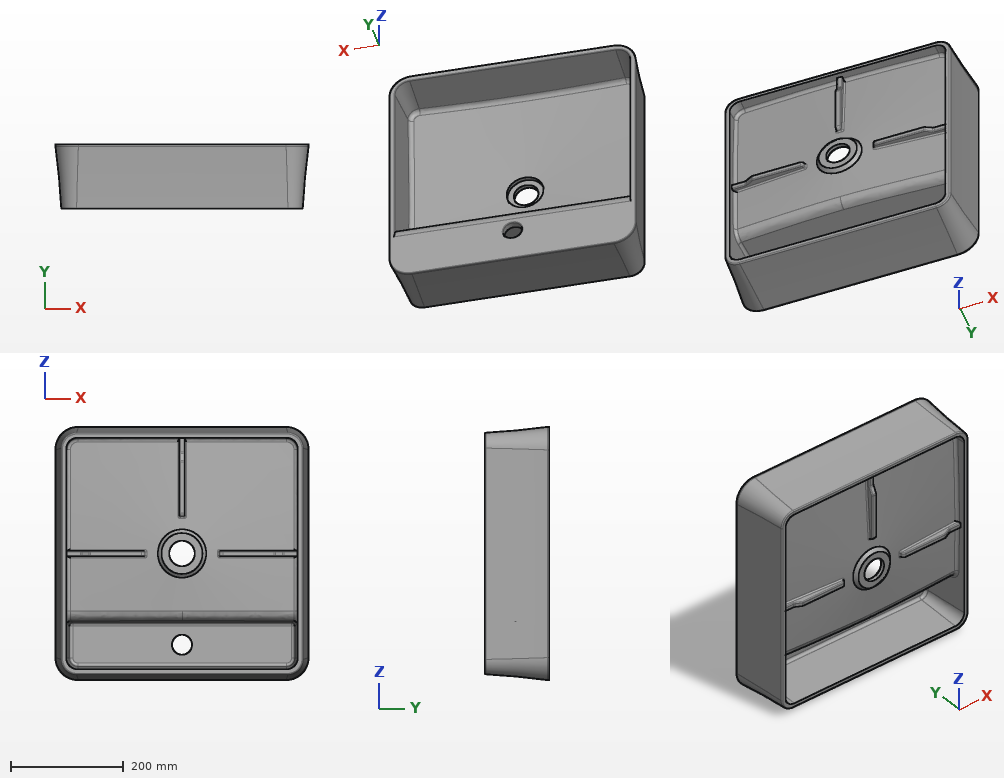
import cadquery as cq
import math

size = 450.0
depth = 114.5
underside_y = -depth / 2
rim_y = depth / 2

underside_size = 429.0
middle_size = 437.2
rim_corner = 40.5
middle_corner = 32.5
underside_corner = 27.0
underside_edge_round = 2.2
rim_band = 3.5
rim_edge_round = 1.5

wall = 9.0
pocket_size = underside_size - 2 * wall
pocket_draft = 3.5
pocket_corner = 20.2
pocket_floor_round = 6.0
deck_thickness = 14.5
deck_y = rim_y - deck_thickness

floor_low_y = -51.5
floor_slope = 0.062
floor_thickness = 10.0

step_z = -117.0
step_draft = 3.5
step_drop = depth * math.tan(math.radians(step_draft))
step_round = 18.0
step_lip_round = 22.5

bowl_size = 430.0
bowl_draft = 5.0
bowl_corner = 27.0
bowl_floor_round = 9.0

drain_diameter = 45.0
boss_top_y = -56.0
boss_top_diameter = 73.0
boss_base_diameter = 86.0
boss_base_y = floor_low_y + floor_slope * boss_base_diameter / 2
drain_flange = 8.5
seat_diameter = 67.5

tap_diameter = 35.0
tap_z = -162.0

rib_width = 10.5
rib_start = 65.5
rib_slope_start = 164.0
rib_slope_end = 179.0
rib_end = 209.0
rib_root_y = -36.0
rib_high_y = -56.0
rib_low_y = -48.0
rib_bend_round = 6.5
rib_round = 2.0
rib_root_round = 2.5
ribbed_floor_drop = 45.0

clear = 9.0

matching_tolerance = 0.001


def plane_at(y):
    """Sketch plane facing -Y at the given height: local x is X and local y is Z."""
    return cq.Workplane("XZ", origin=(0, y, 0))


def rounded_square(width, corner):
    return cq.Sketch().rect(width, width).vertices().fillet(corner)


def outer_body():
    run = depth - rim_band
    body = (
        plane_at(rim_y - rim_band)
        .placeSketch(
            rounded_square(size, rim_corner),
            rounded_square(middle_size, middle_corner).moved(cq.Location(cq.Vector(0, 0, run / 2))),
            rounded_square(underside_size, underside_corner).moved(cq.Location(cq.Vector(0, 0, run))),
        )
        .loft()
    )
    band = plane_at(rim_y).placeSketch(rounded_square(size, rim_corner)).extrude(rim_band)
    return body.union(band).faces("<Y").edges().fillet(underside_edge_round)


def above_cone(low_y):
    """Everything on the +Y side of the conical floor whose tip is at low_y."""
    radius = size
    return (
        cq.Workplane("YZ")
        .polyline([(low_y, 0), (low_y + floor_slope * radius, -radius), (size, -radius), (size, 0)])
        .close()
        .revolve(360, (0, 0, 0), (1, 0, 0))
    )


def bowl_shell():
    """Outside of the bowl as met inside the pocket: conical floor and rounded step wall."""
    block = (
        cq.Workplane("YZ", origin=(-size / 2, 0, 0))
        .polyline([(underside_y, step_z), (rim_y, step_z - step_drop), (rim_y, size / 2), (underside_y, size / 2)])
        .close()
        .extrude(size)
    )
    block = block.intersect(above_cone(floor_low_y))
    near_step = cq.selectors.BoxSelector((-size / 3, underside_y, step_z - 4.5), (size / 3, 0, step_z + 4.5))
    return block.edges(near_step).fillet(step_round)


def pocket():
    block = (
        plane_at(underside_y)
        .placeSketch(rounded_square(pocket_size, pocket_corner))
        .extrude(-(deck_y - underside_y), taper=pocket_draft)
    )
    block = block.cut(bowl_shell())
    top_floor_edge = block.edges(cq.selectors.NearestToPointSelector((0, 0, pocket_size / 2)))
    return block.faces(">Y").edges().add(top_floor_edge).fillet(pocket_floor_round)


def bowl():
    """Cavity open at the rim, bounded by the step wall with its rounded lip and the conical floor."""
    funnel = (
        plane_at(rim_y)
        .placeSketch(rounded_square(bowl_size, bowl_corner))
        .extrude(depth, taper=bowl_draft)
    )
    top_y = rim_y + clear
    beside_step = (
        cq.Workplane("YZ", origin=(-size / 2, 0, 0))
        .polyline(
            [
                (underside_y, step_z + wall),
                (rim_y, step_z - step_drop + wall),
                (rim_y, -size / 2),
                (top_y, -size / 2),
                (top_y, size / 2),
                (underside_y, size / 2),
            ]
        )
        .close()
        .extrude(size)
    )
    lip = cq.selectors.NearestToPointSelector((0, rim_y, step_z))
    beside_step = beside_step.edges(lip).fillet(step_lip_round)
    cavity = funnel.intersect(beside_step).intersect(above_cone(floor_low_y + floor_thickness))
    top_floor_edge = cq.selectors.NearestToPointSelector((0, floor_low_y, bowl_size / 2))
    return cavity.edges(top_floor_edge).fillet(bowl_floor_round)


def drain_boss():
    height = boss_base_y - boss_top_y
    sink = floor_thickness / 2
    cone = plane_at(boss_base_y).circle(boss_base_diameter / 2).workplane(offset=height)
    cone = cone.circle(boss_top_diameter / 2).loft()
    root = plane_at(boss_base_y).circle(boss_base_diameter / 2).extrude(-sink)
    return cone.union(root)


def drain_cut():
    hole = plane_at(underside_y - clear).circle(drain_diameter / 2).extrude(-depth)
    seat = plane_at(boss_top_y + drain_flange).circle(seat_diameter / 2).extrude(-depth / 2)
    return hole.union(seat)


def tap_hole():
    return plane_at(rim_y + clear).center(0, tap_z).circle(tap_diameter / 2).extrude(depth)


def rib(turn):
    """One rib on the floor, running from near the drain out to the skirt; turn is measured from +X."""
    crest_zone = (rib_start - clear, rib_high_y - clear, -rib_width), (rib_end - clear, rib_low_y + 1.0, rib_width)
    blade = (
        cq.Workplane("XY", origin=(0, 0, -rib_width / 2))
        .polyline(
            [
                (rib_start, rib_root_y),
                (rib_start, rib_high_y),
                (rib_slope_start, rib_high_y),
                (rib_slope_end, rib_low_y),
                (rib_end, rib_low_y),
                (rib_end, rib_root_y),
            ]
        )
        .close()
        .extrude(rib_width)
    )
    blade = blade.edges("|Z").edges(cq.selectors.BoxSelector(*crest_zone)).fillet(rib_bend_round)
    blade = blade.faces("<Z or >Z").edges(cq.selectors.BoxSelector(*crest_zone)).fillet(rib_round)
    return blade.rotate((0, 0, 0), (0, 1, 0), -turn)


def ribbed_floor():
    """Upper part of the conical floor, oversize at the skirt, with the ribs flared into it."""
    width = 2 * rib_end
    height = rib_end + ribbed_floor_drop
    centre_z = (rib_end - ribbed_floor_drop) / 2
    floor = plane_at(underside_y).center(0, centre_z).rect(width, height).extrude(-depth)
    floor = floor.intersect(above_cone(floor_low_y))
    for turn in (0, 90, 180):
        floor = floor.union(rib(turn))
    reach = rib_slope_end
    near_ribs = cq.selectors.BoxSelector((-reach, -size, -2 * rib_width), (reach, size, reach))
    return floor.faces("%CONE").edges(near_ribs).fillet(rib_root_round)


result = outer_body().cut(pocket().cut(ribbed_floor(), tol=matching_tolerance))
result = result.union(drain_boss()).cut(bowl()).cut(drain_cut()).cut(tap_hole())
result = result.faces(">Y").edges(cq.selectors.BoxSelector((-270, 0, -270), (270, 90, 270))).fillet(rim_edge_round)